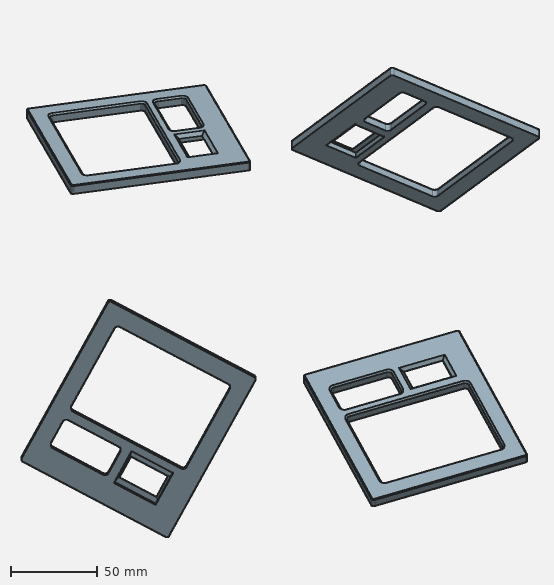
import cadquery as cq

WIDTH = 97.4
LENGTH = 108.3
THICKNESS = 5.7
CORNER_RADIUS = 1.5
RIM_CHAMFER = 0.5

ROUNDED_HOLE_CORNER_DIAMETER = 4.7
ROUNDED_HOLE_CHAMFER = 1.1
HOLE_LEFT = -38.0

LARGE_HOLE_WIDTH = -2 * HOLE_LEFT
LARGE_HOLE_BOTTOM = -43.3
LARGE_HOLE_LENGTH = 57.3

SMALL_HOLE_WIDTH = 37.9
SMALL_HOLE_BOTTOM = 19.8
SMALL_HOLE_LENGTH = 19.0

WINDOW_LEFT = 7.1
WINDOW_BOTTOM = 22.3
WINDOW_WIDTH = 24.3
WINDOW_LENGTH = 14.0
WINDOW_CHAMFER = 2.2

RECESS_MARGIN_X = 1.5
RECESS_MARGIN_Y = 3.8

SELECT_CLEARANCE = 0.1


def make_plate():
    """Rectangular plate with rounded corners and a chamfered top rim."""
    plate = cq.Workplane("XY").box(WIDTH, LENGTH, THICKNESS, centered=(True, True, False))
    return plate.edges("|Z").fillet(CORNER_RADIUS).faces(">Z").chamfer(RIM_CHAMFER)


def chamfer_hole_top(plate, hole, size):
    """Chamfer the top edges of the plate that lie around the given hole."""
    bounds = hole.val().BoundingBox()
    top_edges = cq.selectors.BoxSelector(
        (bounds.xmin - SELECT_CLEARANCE, bounds.ymin - SELECT_CLEARANCE, THICKNESS - SELECT_CLEARANCE),
        (bounds.xmax + SELECT_CLEARANCE, bounds.ymax + SELECT_CLEARANCE, THICKNESS + SELECT_CLEARANCE),
    )
    return plate.edges(top_edges).chamfer(size)


def cut_rounded_hole(plate, left, bottom, width, length):
    """Cut a through hole with rounded corners and chamfer its top edge."""
    hole = (
        cq.Workplane("XY")
        .box(width, length, THICKNESS, centered=False)
        .edges("|Z")
        .fillet(ROUNDED_HOLE_CORNER_DIAMETER / 2)
        .translate((left, bottom, 0))
    )
    return chamfer_hole_top(plate.cut(hole), hole, ROUNDED_HOLE_CHAMFER)


def cut_window(plate):
    """Cut the sharp-cornered window and its wide top chamfer."""
    opening = (
        cq.Workplane("XY")
        .box(WINDOW_WIDTH, WINDOW_LENGTH, THICKNESS, centered=False)
        .translate((WINDOW_LEFT, WINDOW_BOTTOM, 0))
    )
    return chamfer_hole_top(plate.cut(opening), opening, WINDOW_CHAMFER)


def cut_window_recess(plate):
    """Cut the wider recess under the window, up to the lower edge of its chamfer."""
    recess = (
        cq.Workplane("XY")
        .box(
            WINDOW_WIDTH + 2 * RECESS_MARGIN_X,
            WINDOW_LENGTH + 2 * RECESS_MARGIN_Y,
            THICKNESS - WINDOW_CHAMFER,
            centered=False,
        )
        .translate((WINDOW_LEFT - RECESS_MARGIN_X, WINDOW_BOTTOM - RECESS_MARGIN_Y, 0))
    )
    return plate.cut(recess)


result = make_plate()
result = cut_rounded_hole(result, HOLE_LEFT, LARGE_HOLE_BOTTOM, LARGE_HOLE_WIDTH, LARGE_HOLE_LENGTH)
result = cut_rounded_hole(result, HOLE_LEFT, SMALL_HOLE_BOTTOM, SMALL_HOLE_WIDTH, SMALL_HOLE_LENGTH)
result = cut_window(result)
result = cut_window_recess(result)